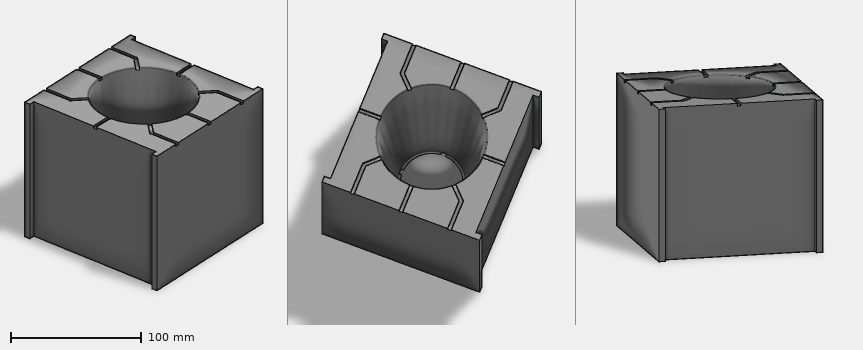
import cadquery as cq
import math

block_length = 130.0
block_height = 120.0
core_width = 120.0
plate_thickness = (block_length - core_width) / 2

groove_width = 3.0
groove_depth = 2.0
branch_offset = 40.0
groove_floor = block_height - groove_depth

mouth_radius = 42.5
floor_radius = 26.1
bore_depth = 106.6
mouth_rounding = 0.6
bore_floor = block_height - bore_depth

channel_round = 1.0
channel_radius = floor_radius - channel_round
bridge_width = 4.2


def upright_box(length, width, height, base):
    """Box centred on the Z axis, standing on the level `base`."""
    return cq.Workplane("XY", origin=(0, 0, base)).box(length, width, height, centered=(True, True, False))


def upright_cross(bar_width, height, base):
    """Two crossed bars along X and Y that span the whole block."""
    along_x = upright_box(block_length, bar_width, height, base)
    along_y = upright_box(bar_width, block_length, height, base)
    return along_x.union(along_y)


def make_block():
    block = upright_box(block_length, core_width, block_height, 0)
    plate = upright_box(plate_thickness, block_length, block_height, 0)
    plate_x = (block_length - plate_thickness) / 2
    for side in (-1, 1):
        block = block.union(plate.translate((side * plate_x, 0, 0)))
    return block


def make_bore():
    return (
        cq.Workplane("XZ")
        .moveTo(0, bore_floor)
        .lineTo(floor_radius, bore_floor)
        .lineTo(mouth_radius, block_height)
        .lineTo(0, block_height)
        .close()
        .revolve(360, (0, 0, 0), (0, 1, 0))
    )


def make_branch_groove():
    """Groove from the centre along a diagonal, then bent to run out parallel to X."""
    half = groove_width / 2
    diagonal_shift = half * math.sqrt(2)
    bend_shift = half * math.tan(math.radians(45 / 2))
    run_out = block_length / 2
    return (
        cq.Workplane("XY", origin=(0, 0, groove_floor))
        .moveTo(diagonal_shift, 0)
        .lineTo(branch_offset + bend_shift, branch_offset - half)
        .lineTo(run_out, branch_offset - half)
        .lineTo(run_out, branch_offset + half)
        .lineTo(branch_offset - bend_shift, branch_offset + half)
        .lineTo(0, diagonal_shift)
        .close()
        .extrude(groove_depth)
    )


def make_grooves():
    """Straight cross plus four bent branches, mirrored into every quadrant."""
    branches = make_branch_groove()
    for mirror_plane in ("YZ", "XZ"):
        branches = branches.union(branches.mirror(mirror_plane))
    return upright_cross(groove_width, groove_depth, groove_floor).union(branches)


def make_floor_channel():
    """Half-round ring below the bore floor, with gaps where the bridges stay."""
    ring = (
        cq.Workplane("XZ")
        .moveTo(channel_radius - channel_round, bore_floor)
        .threePointArc(
            (channel_radius, bore_floor - channel_round),
            (channel_radius + channel_round, bore_floor),
        )
        .close()
        .revolve(360, (0, 0, 0), (0, 1, 0))
    )
    return ring.cut(upright_cross(bridge_width, 2 * channel_round, bore_floor - channel_round))


bored_block = make_block().cut(make_bore())
rounded_block = bored_block.faces(">Z").edges("%CIRCLE").fillet(mouth_rounding)
result = rounded_block.cut(make_grooves()).cut(make_floor_channel()).solids()